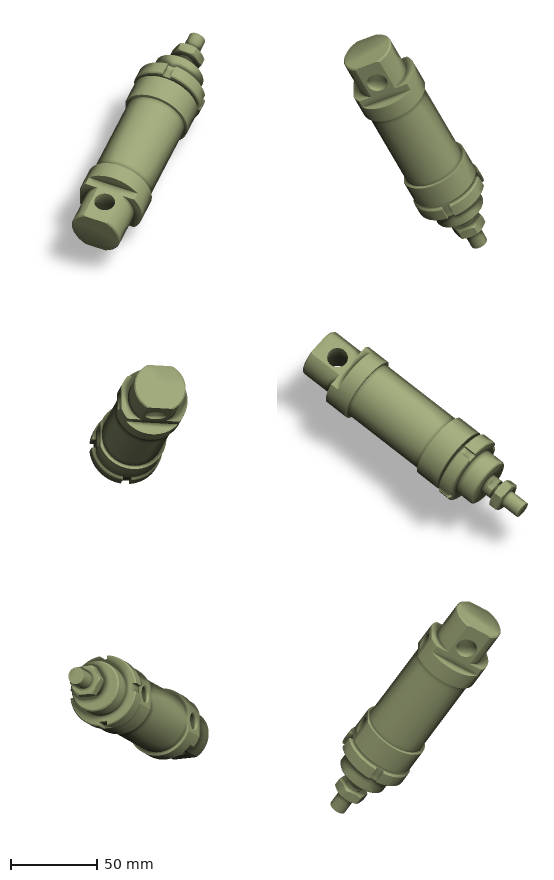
import cadquery as cq
import math

LENGTH = 154.0

EYE_DIA = 30.2
EYE_THICKNESS = 26.0
EYE_HOLE_DIA = 12.0
EYE_HOLE_Y = 14.0
EYE_STEP_Y = 27.0
CAP_DIA = 40.0
CAP_LENGTH = 15.0
REAR_CAP_Y = 22.0
TUBE_DIA = 36.0
TUBE_LENGTH = 54.0
NOSE_DIA = 30.0
NOSE_LENGTH = 22.0
BODY_CHAMFER = 0.8

TUBE_Y = REAR_CAP_Y + CAP_LENGTH
FRONT_CAP_Y = TUBE_Y + TUBE_LENGTH
NOSE_Y = FRONT_CAP_Y + CAP_LENGTH
NOSE_END_Y = NOSE_Y + NOSE_LENGTH

PORT_FLAT_WIDTH = 14.3
PORT_DIA = 8.8
PORT_MOUTH_DIA = 10.3
PORT_DEPTH = 9.2
PORT_TUBE_DISTANCE = 7.1
PORT_FLAT_X = math.sqrt((CAP_DIA / 2) ** 2 - (PORT_FLAT_WIDTH / 2) ** 2)
PORT_CHAMFER = (PORT_MOUTH_DIA - PORT_DIA) / 2

RING_DIA = 42.0
RING_WIDTH = 8.3
RING_Y = 108.0
RING_CHAMFER_RADIAL = 0.6
RING_CHAMFER_AXIAL = 0.6
RING_SLOT_WIDTH = 5.0
RING_SLOT_FLOOR = 18.5
RING_SLOTS = 4

ROD_DIA = 12.0
ROD_FLATS = 10.0
ROD_FLAT_LENGTH = 3.4
ROD_SHOULDER_Y = 134.0
NECK_DIA = 8.3
NECK_LENGTH = 1.2
THREAD_DIA = 10.0
THREAD_TAPER = (THREAD_DIA - NECK_DIA) / 2

HEX_FLATS = 17.0
HEX_SIDES = 6
HEX_WIDTH = 6.0
HEX_Y = 136.3
HEX_CHAMFER_ANGLE = 30.0


def revolve(profile):
    """Solid of revolution about Y from (radius, y) points."""
    return cq.Workplane("XY").polyline(profile).close().revolve(360, (0, 0), (0, 1))


def cylinder(diameter, y_start, y_end):
    """Cylinder on the Y axis."""
    radius = diameter / 2
    return revolve([(0, y_start), (radius, y_start), (radius, y_end), (0, y_end)])


def box(x_range, y_range, z_range):
    """Axis-aligned box given by its limits on each axis."""
    size = [high - low for low, high in (x_range, y_range, z_range)]
    corner = (x_range[0], y_range[0], z_range[0])
    return cq.Workplane("XY").box(*size, centered=False).translate(corner)


def cap_port(port_y):
    """Cutter for one port with a chamfered mouth, entering along +X."""
    bore_radius = PORT_DIA / 2
    profile = [
        (0, 0),
        (PORT_MOUTH_DIA / 2, 0),
        (bore_radius, PORT_CHAMFER),
        (bore_radius, PORT_DEPTH),
        (0, PORT_DEPTH),
    ]
    return revolve(profile).rotate((0, 0, 0), (0, 0, 1), -90).translate((-PORT_FLAT_X, port_y, 0))


def make_body():
    """Tube, both caps, rear eye and front nose as one solid."""
    eye = cylinder(EYE_DIA, 0, REAR_CAP_Y).faces("<Y").chamfer(BODY_CHAMFER)
    nose = cylinder(NOSE_DIA, NOSE_Y, NOSE_END_Y).faces(">Y").chamfer(BODY_CHAMFER)
    body = eye.union(nose).union(cylinder(TUBE_DIA, TUBE_Y, FRONT_CAP_Y))

    caps = ((REAR_CAP_Y, TUBE_Y - PORT_TUBE_DISTANCE), (FRONT_CAP_Y, FRONT_CAP_Y + PORT_TUBE_DISTANCE))
    for cap_y, port_y in caps:
        cap_end_y = cap_y + CAP_LENGTH
        port_flat = box((-CAP_DIA, -PORT_FLAT_X), (cap_y, cap_end_y), (-CAP_DIA, CAP_DIA))
        cap = cylinder(CAP_DIA, cap_y, cap_end_y).cut(port_flat)
        body = body.union(cap).cut(cap_port(port_y))

    for z_range in ((EYE_THICKNESS / 2, CAP_DIA), (-CAP_DIA, -EYE_THICKNESS / 2)):
        body = body.cut(box((-CAP_DIA, CAP_DIA), (0, EYE_STEP_Y), z_range))

    eye_hole = cq.Workplane("XY").center(0, EYE_HOLE_Y).circle(EYE_HOLE_DIA / 2).extrude(CAP_DIA, both=True)
    return body.cut(eye_hole)


def make_ring_nut():
    """Chamfered ring around the nose with wrench slots in its rim."""
    outer = RING_DIA / 2
    inner = NOSE_DIA / 2
    end_y = RING_Y + RING_WIDTH
    ring = revolve([
        (inner, RING_Y),
        (outer - RING_CHAMFER_RADIAL, RING_Y),
        (outer, RING_Y + RING_CHAMFER_AXIAL),
        (outer, end_y - RING_CHAMFER_AXIAL),
        (outer - RING_CHAMFER_RADIAL, end_y),
        (inner, end_y),
    ])
    half_slot = RING_SLOT_WIDTH / 2
    slot = box((RING_SLOT_FLOOR, RING_DIA), (RING_Y, end_y), (-half_slot, half_slot))
    for index in range(RING_SLOTS):
        ring = ring.cut(slot.rotate((0, 0, 0), (0, 1, 0), index * 360 / RING_SLOTS))
    return ring


def make_rod():
    """Rod standing on the nose face, with wrench flats, relief neck and threaded end."""
    neck_end_y = ROD_SHOULDER_Y + NECK_LENGTH
    rod = revolve([
        (0, NOSE_END_Y),
        (ROD_DIA / 2, NOSE_END_Y),
        (ROD_DIA / 2, ROD_SHOULDER_Y),
        (NECK_DIA / 2, ROD_SHOULDER_Y),
        (NECK_DIA / 2, neck_end_y),
        (THREAD_DIA / 2, neck_end_y + THREAD_TAPER),
        (THREAD_DIA / 2, LENGTH),
        (0, LENGTH),
    ])
    flat_z = ROD_FLATS / 2
    flat_y = ROD_SHOULDER_Y - ROD_FLAT_LENGTH
    flat = (
        cq.Workplane("YZ")
        .polyline([
            (ROD_SHOULDER_Y, flat_z),
            (flat_y, flat_z),
            (flat_y - flat_z, 2 * flat_z),
            (ROD_SHOULDER_Y, 2 * flat_z),
        ])
        .close()
        .extrude(ROD_DIA, both=True)
    )
    return rod.cut(flat).cut(flat.mirror("XY"))


def make_hex_nut():
    """Hexagon nut with two flats facing +Z and -Z and both faces chamfered."""
    corner_dia = HEX_FLATS / math.cos(math.pi / HEX_SIDES)
    end_y = HEX_Y + HEX_WIDTH
    prism = cq.Workplane("XZ", origin=(0, end_y, 0)).polygon(HEX_SIDES, corner_dia).extrude(HEX_WIDTH)
    face_radius = HEX_FLATS / 2
    corner_radius = corner_dia / 2
    drop = (corner_radius - face_radius) * math.tan(math.radians(HEX_CHAMFER_ANGLE))
    envelope = revolve([
        (0, HEX_Y),
        (face_radius, HEX_Y),
        (corner_radius, HEX_Y + drop),
        (corner_radius, end_y - drop),
        (face_radius, end_y),
        (0, end_y),
    ])
    return prism.intersect(envelope).cut(cylinder(THREAD_DIA, HEX_Y, end_y))


body = make_body()
ring_nut = make_ring_nut()
rod = make_rod()
hex_nut = make_hex_nut()

result = cq.Compound.makeCompound([body.val(), ring_nut.val(), rod.val(), hex_nut.val()])